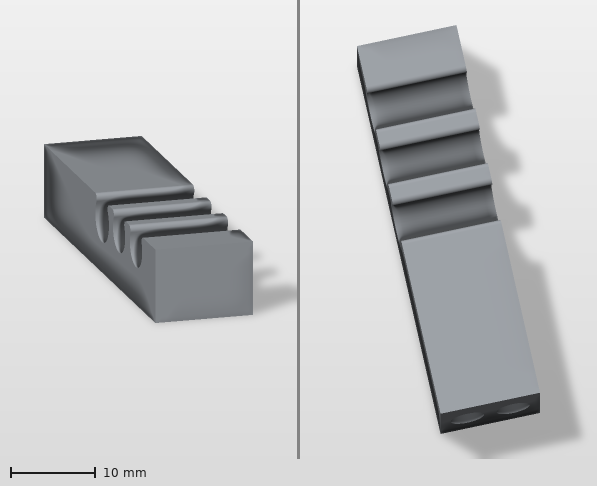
import cadquery as cq
import math

length = 46.0
width = 12.0
height = 9.0

grooves = [
    (24.0, 5.6, 5.3),
    (31.0, 5.0, 4.6),
    (38.0, 5.1, 4.4),
]
lip_radius = 0.6

hole_diameter = 4.0
hole_spacing = 5.5
hole_depth = 15.0


def groove_cutter(center_x, diameter, depth):
    """Round channel whose mouth narrows between two lips tangent to it and to the top face."""
    radius = diameter / 2
    center_z = height - depth + radius
    lip_z = height - lip_radius
    rise = lip_z - center_z
    center_distance = radius + lip_radius
    lip_offset = math.sqrt(center_distance**2 - rise**2)

    tangent_offset = lip_offset * radius / center_distance
    tangent_z = center_z + rise * radius / center_distance
    throat_offset = lip_offset - lip_radius

    return (
        cq.Workplane("XZ", origin=(center_x, 0, 0))
        .moveTo(-lip_offset, height)
        .threePointArc((-throat_offset, lip_z), (-tangent_offset, tangent_z))
        .threePointArc((0, center_z - radius), (tangent_offset, tangent_z))
        .threePointArc((throat_offset, lip_z), (lip_offset, height))
        .close()
        .extrude(width / 2, both=True)
    )


result = cq.Workplane("XY").box(length, width, height, centered=(False, True, False))

for center_x, diameter, depth in grooves:
    result = result.cut(groove_cutter(center_x, diameter, depth))

end_holes = (
    cq.Workplane("YZ", origin=(0, 0, height / 2))
    .pushPoints([(-hole_spacing / 2, 0), (hole_spacing / 2, 0)])
    .circle(hole_diameter / 2)
    .extrude(hole_depth)
)
result = result.cut(end_holes)